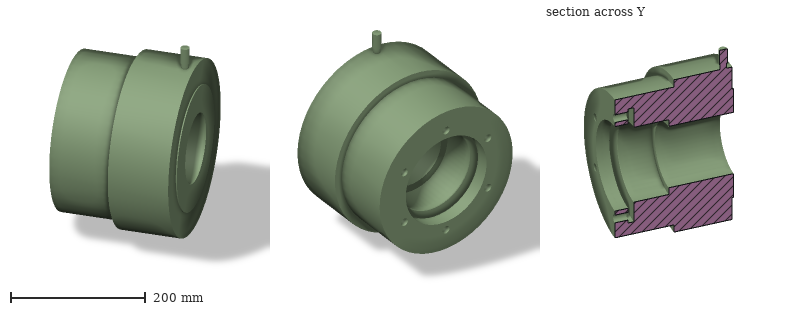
import cadquery as cq

total_length = 190.0
shoulder_position = 94.5
body_diameter = 245.0
flange_diameter = 270.7
lip_diameter = 193.2
lip_height = 1.8
flange_end = total_length - lip_height

counterbore_diameter = 148.7
counterbore_depth = 21.3
bore_diameter = 131.7
bore_end = 86.0
recess_end = 30.5
recess_diameter = 201.2
bore_edge_chamfer = 1.0
passage_diameter = 108.0

bolt_hole_count = 6
bolt_hole_diameter = 12.8
bolt_circle_diameter = 177.5
bolt_hole_depth = counterbore_depth

pin_position = 173.5
pin_head_diameter = 13.7
pin_head_length = 25.5
pin_neck_diameter = 11.3
pin_neck_embed = 6.0
pin_top = 304.8 - flange_diameter / 2


def axial_cylinder(diameter, start, end):
    """Cylinder on the X axis between two axial positions."""
    return cq.Workplane("YZ", origin=(start, 0, 0)).circle(diameter / 2).extrude(end - start)


def make_body():
    body = axial_cylinder(body_diameter, 0, shoulder_position)
    body = body.union(axial_cylinder(flange_diameter, shoulder_position, flange_end))
    return body.union(axial_cylinder(lip_diameter, flange_end, total_length))


def make_passage():
    bore = axial_cylinder(bore_diameter, recess_end, bore_end)
    bore_edge = (
        cq.Workplane("YZ", origin=(recess_end, 0, 0))
        .circle(bore_diameter / 2 + bore_edge_chamfer)
        .workplane(offset=bore_edge_chamfer)
        .circle(bore_diameter / 2)
        .loft()
    )
    passage = axial_cylinder(counterbore_diameter, 0, counterbore_depth)
    recess = axial_cylinder(recess_diameter, counterbore_depth, recess_end)
    passage = passage.union(recess)
    passage = passage.union(bore).union(bore_edge)
    return passage.union(axial_cylinder(passage_diameter, 0, total_length))


def make_bolt_holes():
    return (
        cq.Workplane("YZ")
        .polarArray(bolt_circle_diameter / 2, 90, 360, bolt_hole_count)
        .circle(bolt_hole_diameter / 2)
        .extrude(bolt_hole_depth)
    )


def make_pin():
    head_bottom = pin_top - pin_head_length
    neck_bottom = flange_diameter / 2 - pin_neck_embed
    neck = (
        cq.Workplane("XY", origin=(pin_position, 0, neck_bottom))
        .circle(pin_neck_diameter / 2)
        .extrude(head_bottom - neck_bottom)
    )
    head = (
        cq.Workplane("XY", origin=(pin_position, 0, head_bottom))
        .circle(pin_head_diameter / 2)
        .extrude(pin_head_length)
    )
    return neck.union(head)


result = make_body().cut(make_passage()).cut(make_bolt_holes()).union(make_pin())